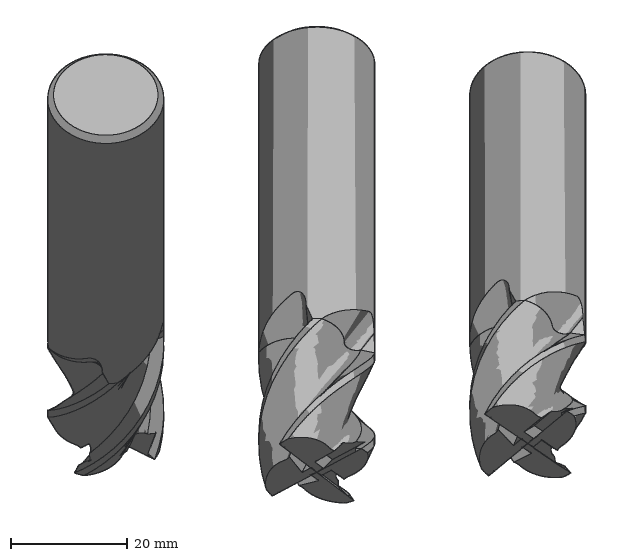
import cadquery as cq
import math

LENGTH = 92.0
DIAMETER = 20.0
RADIUS = DIAMETER / 2
CUT_LENGTH = 26.0
SHANK_CHAMFER = 1.0
FLUTES = 4
FLUTE_PITCH = 360 / FLUTES

LEAD = 74.5
EDGE_START = 2.0
CUT_TWIST = 360 * CUT_LENGTH / LEAD

LAND_ANGLE = 9.0
BACK_ANGLE, BACK_RADIUS = 33.0, 8.0
HEEL_ANGLE, HEEL_RADIUS = 58.0, 5.9
ROOT_ANGLE, ROOT_RADIUS = 72.0, 5.7
RAKE_ANGLE, RAKE_RADIUS = 83.0, 7.7

RUNOUT_HEIGHT = 11.0
RUNOUT_OUTWARD = 0.57
RUNOUT_SIDEWAYS = 0.39
RUNOUT_ANGLE = 50.0
FLUTE_REACH = 2 * RADIUS

END_RELIEF = 10.0
GASH_HEIGHT = 3.8
GASH_WIDTH = 2.3
GASH_LEAN = 2.6
GASH_INNER_RADIUS = 1.4
GASH_OUTER_RADIUS = 8.65


def polar(radius, angle):
    """Point at a radius and an angle in degrees."""
    return (radius * math.cos(math.radians(angle)), radius * math.sin(math.radians(angle)))


def draw_flute(sketch, edge):
    """Draw from the end of one land down the tooth back and up to the next cutting edge."""
    return (
        sketch
        .threePointArc(polar(BACK_RADIUS, edge + BACK_ANGLE), polar(HEEL_RADIUS, edge + HEEL_ANGLE))
        .threePointArc(polar(ROOT_RADIUS, edge + ROOT_ANGLE), polar(RAKE_RADIUS, edge + RAKE_ANGLE))
        .lineTo(*polar(RADIUS, edge + FLUTE_PITCH))
    )


def make_blank():
    """Twisted bar with the tooth section."""
    section = cq.Workplane("XY").moveTo(*polar(RADIUS, EDGE_START))
    for i in range(FLUTES):
        edge = EDGE_START + i * FLUTE_PITCH
        section = section.threePointArc(
            polar(RADIUS, edge + LAND_ANGLE / 2), polar(RADIUS, edge + LAND_ANGLE)
        )
        section = draw_flute(section, edge)
    return section.close().twistExtrude(CUT_LENGTH, CUT_TWIST)


def make_end_relief():
    """Wedge under one tooth, rising behind a cutting edge that lies along +X."""
    rise = RADIUS * math.tan(math.radians(END_RELIEF))
    return cq.Workplane("YZ").polyline([(0, 0), (RADIUS, 0), (RADIUS, rise)]).close().extrude(RADIUS)


def make_gash():
    """Leaning notch ahead of a cutting edge that lies along +X."""
    profile = [
        (0, 0),
        (GASH_LEAN, GASH_HEIGHT),
        (GASH_LEAN - GASH_WIDTH, GASH_HEIGHT),
        (-GASH_WIDTH, 0),
    ]
    return (
        cq.Workplane("YZ", origin=(GASH_INNER_RADIUS, 0, 0))
        .polyline(profile).close().extrude(GASH_OUTER_RADIUS - GASH_INNER_RADIUS)
    )


def make_cutter():
    cutter = make_blank()
    for i in range(FLUTES):
        edge = EDGE_START + i * FLUTE_PITCH
        for tool in (make_end_relief(), make_gash()):
            cutter = cutter.cut(tool.rotate((0, 0, 0), (0, 0, 1), edge))
    return cutter


def make_runout(edge):
    """Flute section swept straight up, outward and sideways from the top of the cutter."""
    middle = edge + RUNOUT_ANGLE
    reach_x, reach_y = polar(FLUTE_REACH, middle)
    land_end = polar(RADIUS, edge + LAND_ANGLE)
    next_edge = polar(RADIUS, edge + FLUTE_PITCH)
    outline = draw_flute(cq.Workplane("XY", origin=(0, 0, CUT_LENGTH)).moveTo(*land_end), edge)
    outline = (
        outline
        .lineTo(next_edge[0] + reach_x, next_edge[1] + reach_y)
        .lineTo(land_end[0] + reach_x, land_end[1] + reach_y)
        .close()
    )
    out_x, out_y = polar(RUNOUT_OUTWARD * RUNOUT_HEIGHT, middle)
    side_x, side_y = polar(RUNOUT_SIDEWAYS * RUNOUT_HEIGHT, middle + 90)
    path = cq.Vector(out_x + side_x, out_y + side_y, RUNOUT_HEIGHT)
    return cq.Solid.extrudeLinear(outline.val(), [], path)


def make_shank():
    shank = (
        cq.Workplane("XY", origin=(0, 0, CUT_LENGTH))
        .circle(RADIUS).extrude(LENGTH - CUT_LENGTH)
        .faces(">Z").chamfer(SHANK_CHAMFER)
    )
    for i in range(FLUTES):
        shank = shank.cut(cq.Workplane(make_runout(EDGE_START + CUT_TWIST + i * FLUTE_PITCH)))
    return shank


cutter = make_cutter()
shank = make_shank()
result = cq.Compound.makeCompound([cutter.val(), shank.val()])